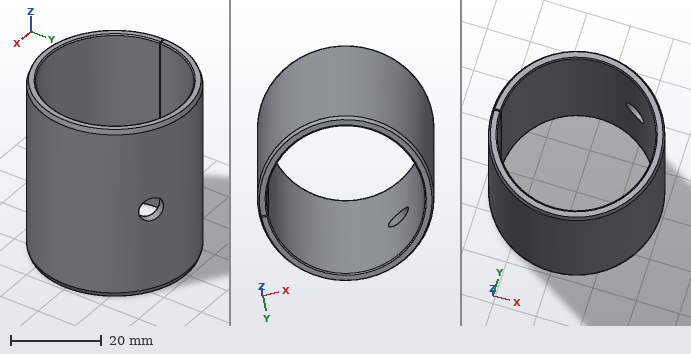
import cadquery as cq
import math

OUTER_DIAMETER = 39.0
WALL = 2.0
LENGTH = 45.0

OUTER_CHAMFER_LENGTH = 1.2
OUTER_CHAMFER_ANGLE = 20.0
INNER_CHAMFER = 0.3

SPLIT_ANGLE = 1.0

OIL_HOLE_DIAMETER = 6.0
OIL_HOLE_ANGLE = 59.0

outer_radius = OUTER_DIAMETER / 2
inner_radius = outer_radius - WALL
half_length = LENGTH / 2
outer_chamfer_depth = OUTER_CHAMFER_LENGTH * math.tan(math.radians(OUTER_CHAMFER_ANGLE))


def make_sleeve():
    """Revolve the wall section, chamfered at all four corners, about Z, leaving the split open."""
    outer_chamfer_z = half_length - OUTER_CHAMFER_LENGTH
    inner_chamfer_z = half_length - INNER_CHAMFER
    outer_end_radius = outer_radius - outer_chamfer_depth
    inner_end_radius = inner_radius + INNER_CHAMFER
    section = [
        (outer_radius, -outer_chamfer_z),
        (outer_radius, outer_chamfer_z),
        (outer_end_radius, half_length),
        (inner_end_radius, half_length),
        (inner_radius, inner_chamfer_z),
        (inner_radius, -inner_chamfer_z),
        (inner_end_radius, -half_length),
        (outer_end_radius, -half_length),
    ]
    profile = cq.Workplane("XZ").polyline(section).close()
    ring = profile.revolve(360 - SPLIT_ANGLE, (0, 0), (0, 1))
    return ring.rotate((0, 0, 0), (0, 0, 1), 180)


def make_oil_hole_cutter():
    """Radial cylinder from the axis out through the wall at the hole angle."""
    cutter = cq.Workplane("YZ").circle(OIL_HOLE_DIAMETER / 2).extrude(OUTER_DIAMETER)
    return cutter.rotate((0, 0, 0), (0, 0, 1), OIL_HOLE_ANGLE)


result = make_sleeve().cut(make_oil_hole_cutter())